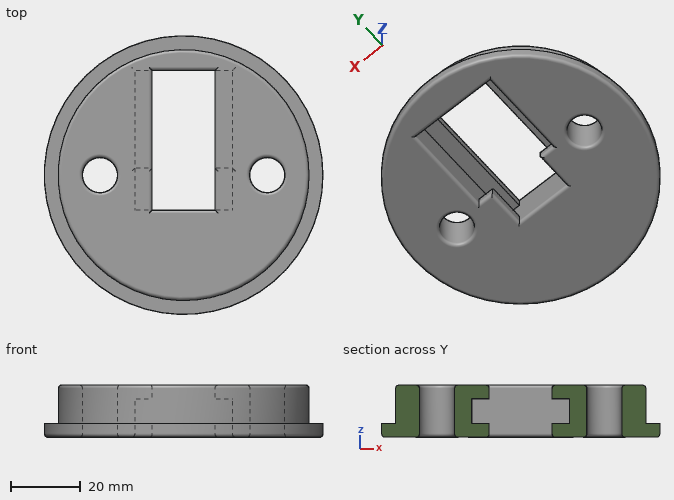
import cadquery as cq

flange_diameter = 80.0
flange_height = 4.0
body_diameter = 72.0
total_height = 15.0
edge_radius = flange_height / 4

hole_diameter = 10.0
hole_offset = 24.0

window_width = 18.0
window_length = 40.0
window_back = 30.0
top_plate = 4.0

pocket_width = 28.0
opening_length = pocket_width
pocket_top = total_height - top_plate
pocket_floor = flange_height


def block(width, length, bottom, top):
    """Box centred on X that reaches forward from the back wall of the window."""
    return (
        cq.Workplane("XY", origin=(0, window_back - length / 2, bottom))
        .rect(width, length)
        .extrude(top - bottom)
    )


def body():
    flange = cq.Workplane("XY").circle(flange_diameter / 2).extrude(flange_height)
    plug = cq.Workplane("XY").circle(body_diameter / 2).extrude(total_height)
    return flange.union(plug)


def screw_holes():
    return (
        cq.Workplane("XY")
        .pushPoints([(-hole_offset, 0), (hole_offset, 0)])
        .circle(hole_diameter / 2)
        .extrude(total_height)
    )


window = block(window_width, window_length, 0, total_height)
pocket = block(pocket_width, window_length, pocket_floor, pocket_top)
floor_opening = block(pocket_width, opening_length, 0, pocket_top)

result = body().cut(screw_holes()).cut(window).cut(pocket).cut(floor_opening)

result = result.faces(">Z or <Z").edges().fillet(edge_radius)

lip_y = window_back - opening_length
lip_reach = 0.1
lips = cq.selectors.BoxSelector(
    (-pocket_width, lip_y - lip_reach, pocket_floor - lip_reach),
    (pocket_width, lip_y + lip_reach, pocket_floor + lip_reach),
)
result = result.edges(lips).fillet(edge_radius)